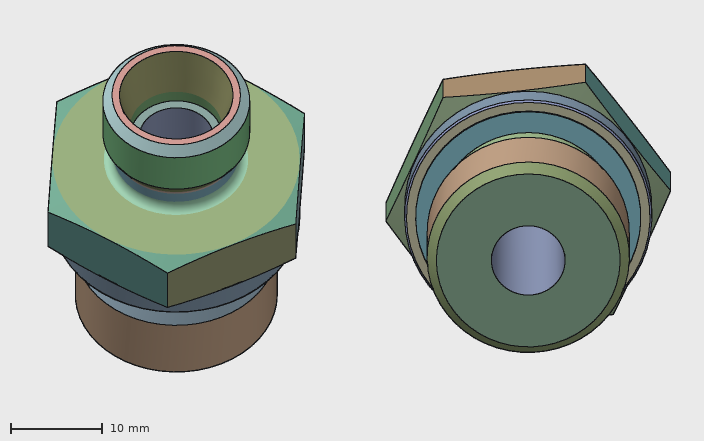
import cadquery as cq
import math

total_height = 35.0
seal_face_z = 13.75
collar_face_z = 14.0
hex_bottom_z = 17.0
hex_height = 7.0
hex_top_z = hex_bottom_z + hex_height

stud_diameter = 22.0
stud_neck_diameter = 19.7
stud_length = 9.0

tube_end_diameter = 16.0
tube_neck_diameter = 13.7
tube_end_length = 6.37
tube_neck_base_fillet = 1.0

end_chamfer = 1.0
undercut_angle = 30.0
undercut_fillet = 0.88

hex_across_flats = 27.02
collar_diameter = 26.9
collar_chamfer = 0.2
hex_chamfer_angle = 15.0

bore_diameter = 8.0
socket_diameter = 10.0
cone_mouth_diameter = 12.35
cone_half_angle = 12.0
socket_length = 1.5

seal_diameter = 24.5
seal_thickness = 2.0


def tangent_of(angle):
    return math.tan(math.radians(angle))


def revolve_profile(profile):
    """Close a half profile drawn as (radius, height) and turn it about Z."""
    return profile.close().revolve(360, (0, 0, 0), (0, 1, 0))


def cylinder(diameter, bottom_z, top_z):
    return cq.Workplane("XY").workplane(offset=bottom_z).circle(diameter / 2).extrude(top_z - bottom_z)


def make_threaded_end(diameter, neck_diameter, length, root_z):
    """Chamfered end at z = 0, a cone down to the neck, and the neck up to root_z."""
    radius = diameter / 2
    neck_radius = neck_diameter / 2
    cone_rise = (radius - neck_radius) / tangent_of(undercut_angle)
    cone_top_z = length + cone_rise
    setback = undercut_fillet * tangent_of(undercut_angle / 2)
    half_turn = math.radians(undercut_angle / 2)
    fillet_center_radius = neck_radius + undercut_fillet
    fillet_end_z = cone_top_z + setback
    fillet_start = (
        neck_radius + setback * math.sin(2 * half_turn),
        cone_top_z - setback * math.cos(2 * half_turn),
    )
    fillet_middle = (
        fillet_center_radius - undercut_fillet * math.cos(half_turn),
        fillet_end_z - undercut_fillet * math.sin(half_turn),
    )
    profile = (
        cq.Workplane("XZ")
        .lineTo(radius - end_chamfer, 0)
        .lineTo(radius, end_chamfer)
        .lineTo(radius, length)
        .lineTo(*fillet_start)
        .threePointArc(fillet_middle, (neck_radius, fillet_end_z))
        .lineTo(neck_radius, root_z)
        .lineTo(0, root_z)
    )
    return revolve_profile(profile)


def make_hexagon():
    """Hexagon with corners on the Y axis, its corners turned off at both ends."""
    hexagon = (
        cq.Workplane("XY")
        .workplane(offset=hex_bottom_z)
        .polygon(6, hex_across_flats, circumscribed=True)
        .extrude(hex_height)
    )
    face_radius = collar_diameter / 2
    outer_radius = hex_across_flats
    drop = (outer_radius - face_radius) * tangent_of(hex_chamfer_angle)
    envelope = (
        cq.Workplane("XZ")
        .moveTo(0, hex_bottom_z)
        .lineTo(face_radius, hex_bottom_z)
        .lineTo(outer_radius, hex_bottom_z + drop)
        .lineTo(outer_radius, hex_top_z - drop)
        .lineTo(face_radius, hex_top_z)
        .lineTo(0, hex_top_z)
    )
    return hexagon.intersect(revolve_profile(envelope))


def make_collar():
    return cylinder(collar_diameter, collar_face_z, hex_bottom_z).faces("<Z").chamfer(collar_chamfer)


def make_neck_base_fillet():
    """Concave ring that blends the tube-end neck into the hexagon face."""
    neck_radius = tube_neck_diameter / 2
    fillet = tube_neck_base_fillet
    inset = fillet * (1 - math.sqrt(0.5))
    profile = (
        cq.Workplane("XZ")
        .moveTo(0, hex_top_z)
        .lineTo(neck_radius + fillet, hex_top_z)
        .threePointArc((neck_radius + inset, hex_top_z + inset), (neck_radius, hex_top_z + fillet))
        .lineTo(0, hex_top_z + fillet)
    )
    return revolve_profile(profile)


def make_bore():
    """Through bore, widened at the top into the tube socket and sealing cone."""
    bore_radius = bore_diameter / 2
    socket_radius = socket_diameter / 2
    mouth_radius = cone_mouth_diameter / 2
    cone_bottom_z = total_height - (mouth_radius - socket_radius) / tangent_of(cone_half_angle)
    socket_floor_z = cone_bottom_z - socket_length
    profile = (
        cq.Workplane("XZ")
        .lineTo(bore_radius, 0)
        .lineTo(bore_radius, socket_floor_z)
        .lineTo(socket_radius, socket_floor_z)
        .lineTo(socket_radius, cone_bottom_z)
        .lineTo(mouth_radius, total_height)
        .lineTo(0, total_height)
    )
    return revolve_profile(profile)


def make_seal_ring():
    ring = cylinder(seal_diameter, seal_face_z, seal_face_z + seal_thickness)
    return ring.cut(cylinder(stud_neck_diameter, seal_face_z, seal_face_z + seal_thickness))


def make_fitting():
    stud_end = make_threaded_end(stud_diameter, stud_neck_diameter, stud_length, hex_bottom_z)
    tube_end = (
        make_threaded_end(tube_end_diameter, tube_neck_diameter, tube_end_length, total_height - hex_top_z)
        .rotate((0, 0, 0), (1, 0, 0), 180)
        .translate((0, 0, total_height))
    )
    fitting = make_hexagon().union(make_collar()).union(stud_end).union(tube_end)
    return fitting.union(make_neck_base_fillet()).cut(make_bore())


seal_ring = make_seal_ring()
fitting = make_fitting().cut(seal_ring).solids()

result = cq.Compound.makeCompound([fitting.val(), seal_ring.val()])